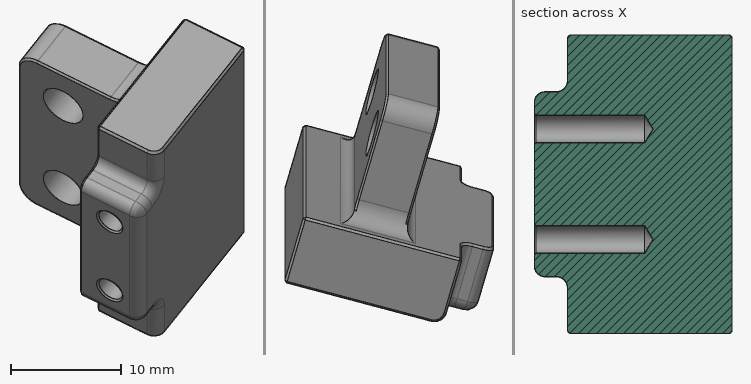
import cadquery as cq
import math

length = 18.3
depth = 17.9
height = 27.0

block_thickness = 6.5
pad_rise = 3.0
pad_height = 16.75
step_radius = 1.0
outer_edge_radius = 1.13
edge_chamfer = 0.22
block_x = length - block_thickness

lug_height = 21.0
lug_thickness = 5.02
lug_back_setback = 4.48
lug_corner_radius = 2.0
root_radius_ends = 2.0
root_radius_sides = 1.0
lug_edge_chamfer = 0.2
lug_back = depth - lug_back_setback
lug_front = lug_back - lug_thickness

lug_hole_diameter = 4.25
lug_hole_x = 4.8
lug_hole_spacing = 12.0

pad_hole_diameter = 2.48
pad_hole_depth = 10.0
pad_hole_mouth_chamfer = 0.15
pad_hole_spacing = 10.0
drill_tip_angle = 118
pad_hole_x = length - block_thickness / 2

overlap = 0.55

margin = 0.27


def make_block():
    """Stepped block with a rounded +X/-Y contour and chamfered remaining edges."""
    body = cq.Workplane("XY").box(
        block_thickness, depth - pad_rise, height, centered=(False, False, True)
    ).translate((block_x, pad_rise, 0))
    pad = cq.Workplane("XY").box(
        block_thickness, depth / 2, pad_height, centered=(False, False, True)
    ).translate((block_x, 0, 0))
    block = body.union(pad)

    pad_zone = cq.selectors.BoxSelector(
        (block_x - margin, -margin, -pad_height / 2 - margin),
        (length + margin, pad_rise + margin, pad_height / 2 + margin),
    )
    block = block.edges("|X").edges(pad_zone).fillet(step_radius)

    contour_zone = cq.selectors.BoxSelector(
        (length - margin, -margin, -height), (length + margin, pad_rise + margin, height)
    )
    end_edges = cq.selectors.BoxSelector(
        (length - margin, -margin, height / 2 - margin),
        (length + margin, depth + margin, height / 2 + margin),
    )
    block = block.faces(">X").edges(contour_zone - end_edges).fillet(outer_edge_radius)

    return block.faces("<X or >Y or >Z or <Z").edges().chamfer(edge_chamfer)


def full_slab(x_start, x_end):
    """Box spanning the full depth and height between two X positions."""
    return cq.Workplane("XY").box(
        x_end - x_start, depth, height, centered=(False, False, True)
    ).translate((x_start, 0, 0))


def make_lug():
    """Rounded lug flaring into the block; crossing two profiles mitres the flares."""
    half_height = lug_height / 2
    flared_half = half_height + root_radius_ends
    buried_x = block_x + overlap
    side_profile = (
        cq.Workplane("XZ")
        .moveTo(0, -half_height)
        .lineTo(block_x - root_radius_ends, -half_height)
        .radiusArc((block_x, -flared_half), root_radius_ends)
        .lineTo(buried_x, -flared_half)
        .lineTo(buried_x, flared_half)
        .lineTo(block_x, flared_half)
        .radiusArc((block_x - root_radius_ends, half_height), root_radius_ends)
        .lineTo(0, half_height)
        .close()
        .extrude(-depth)
        .edges("<X and |Y")
        .fillet(lug_corner_radius)
    )
    plan_profile = (
        cq.Workplane("XY")
        .moveTo(0, lug_front)
        .lineTo(block_x - root_radius_sides, lug_front)
        .radiusArc((block_x, lug_front - root_radius_sides), root_radius_sides)
        .lineTo(buried_x, lug_front - root_radius_sides)
        .lineTo(buried_x, lug_back + root_radius_sides)
        .lineTo(block_x, lug_back + root_radius_sides)
        .radiusArc((block_x - root_radius_sides, lug_back), root_radius_sides)
        .lineTo(0, lug_back)
        .close()
        .extrude(height / 2, both=True)
    )
    flared_lug = side_profile.intersect(plan_profile)

    straight_part = flared_lug.intersect(full_slab(0, block_x - root_radius_sides))
    root_part = flared_lug.intersect(full_slab(block_x - root_radius_sides, buried_x))
    straight_part = (
        straight_part.faces("<Y or >Y").edges("not(>X and |Z)").chamfer(lug_edge_chamfer)
    )
    return straight_part.union(root_part)


def lug_hole(z):
    """Straight cylinder through the lug along Y."""
    return (
        cq.Workplane("XZ")
        .center(lug_hole_x, z)
        .circle(lug_hole_diameter / 2)
        .extrude(-depth)
    )


def pad_hole(z):
    """Drilled hole along +Y with a chamfered mouth and conical tip."""
    radius = pad_hole_diameter / 2
    tip_length = radius / math.tan(math.radians(drill_tip_angle / 2))
    return (
        cq.Workplane("XY")
        .moveTo(0, 0)
        .lineTo(radius + pad_hole_mouth_chamfer, 0)
        .lineTo(radius, pad_hole_mouth_chamfer)
        .lineTo(radius, pad_hole_depth)
        .lineTo(0, pad_hole_depth + tip_length)
        .close()
        .revolve(360, (0, 0, 0), (0, 1, 0))
        .translate((pad_hole_x, 0, z))
    )


result = make_block().union(make_lug())
for side in (-1, 1):
    result = result.cut(lug_hole(side * lug_hole_spacing / 2))
    result = result.cut(pad_hole(side * pad_hole_spacing / 2))